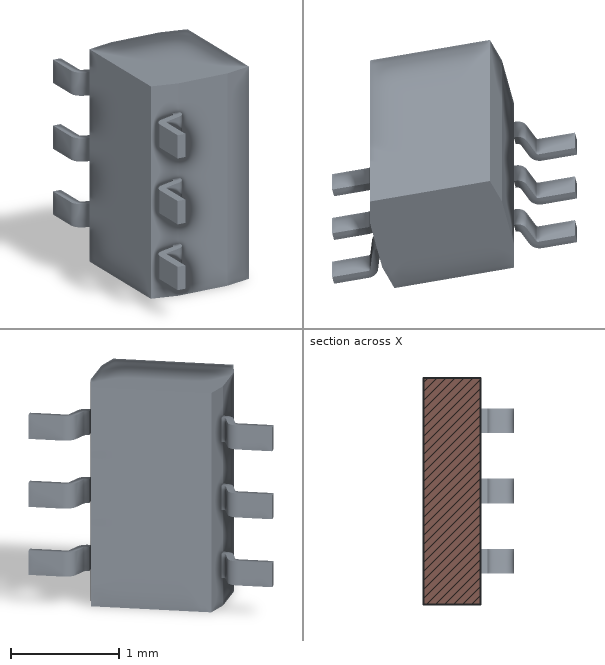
import cadquery as cq
import math

overall_width = 2.3
housing_width = 1.25
housing_length = 2.1
standoff = 0.05
overall_depth = 1.1
housing_depth = overall_depth - standoff
taper_depth = housing_depth / 4
taper_inset = 0.058

lead_rows = 3
lead_pitch = 0.65
lead_width = 0.23
lead_thickness = 0.08
lead_height = 0.325
foot_length = 0.327
bend_angle = math.radians(72)
slant_thickness = 0.071
foot_outer_radius = 0.113
foot_inner_radius = 0.02
shoulder_outer_radius = 0.095
shoulder_inner_radius = 0.04


def make_housing():
    """Block whose two long sides taper in towards both broad faces."""
    side = housing_width / 2
    face = side - taper_inset
    back = overall_depth
    outline = [
        (-face, standoff),
        (face, standoff),
        (side, standoff + taper_depth),
        (side, back - taper_depth),
        (face, back),
        (-face, back),
        (-side, back - taper_depth),
        (-side, standoff + taper_depth),
    ]
    return cq.Workplane("XY").polyline(outline).close().extrude(housing_length / 2, both=True)


def make_left_lead(center_z):
    """Bent strip that ends flat in the plane of the housing side."""
    foot_tip = -overall_width / 2
    housing_side = -housing_width / 2
    shoulder_bottom = lead_height - lead_thickness

    slant_shift = slant_thickness / math.sin(bend_angle)
    foot_bottom_corner = foot_tip + foot_length + foot_outer_radius * math.tan(bend_angle / 2)
    shoulder_bottom_corner = foot_bottom_corner + shoulder_bottom / math.tan(bend_angle)
    shoulder_top_corner = foot_bottom_corner + lead_height / math.tan(bend_angle) - slant_shift
    foot_top_corner = foot_bottom_corner + lead_thickness / math.tan(bend_angle) - slant_shift

    outline = [
        (foot_tip, 0),
        (foot_bottom_corner, 0),
        (shoulder_bottom_corner, shoulder_bottom),
        (housing_side, shoulder_bottom),
        (housing_side, lead_height),
        (shoulder_top_corner, lead_height),
        (foot_top_corner, lead_thickness),
        (foot_tip, lead_thickness),
    ]
    lead = (
        cq.Workplane("XY", origin=(0, 0, center_z))
        .polyline(outline)
        .close()
        .extrude(lead_width / 2, both=True)
    )

    bends = [
        (foot_bottom_corner, 0, foot_outer_radius),
        (shoulder_bottom_corner, shoulder_bottom, shoulder_inner_radius),
        (shoulder_top_corner, lead_height, shoulder_outer_radius),
        (foot_top_corner, lead_thickness, foot_inner_radius),
    ]
    for x, y, radius in bends:
        corner_edge = cq.NearestToPointSelector((x, y, center_z))
        lead = lead.edges("|Z").edges(corner_edge).fillet(radius)
    return lead


housing = make_housing()

leads = []
for row in range(lead_rows):
    row_z = (row - (lead_rows - 1) / 2) * lead_pitch
    left_lead = make_left_lead(row_z)
    right_lead = left_lead.mirror("YZ")
    leads.append(left_lead.val())
    leads.append(right_lead.val())

result = cq.Compound.makeCompound([housing.val(), *leads])